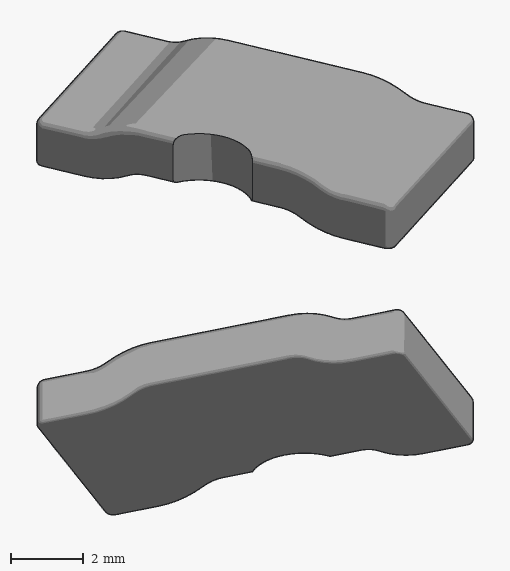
import cadquery as cq
import math

length = 10.92
width = 5.51
height = 2.0
step = 0.5
thickness = height - step

end_flat = 1.52
inner_radius = 1.17
outer_radius = inner_radius + thickness

corner_radius = 0.25
bottom_radius = 0.1
notch_radius = 1.52
notch_depth = 0.6

half_length = length / 2
bend_start = half_length - end_flat
radius_sum = inner_radius + outer_radius
bend_angle = math.acos(1 - step / radius_sum)
bend_end = bend_start - radius_sum * math.sin(bend_angle)


def bend_points(side, base, lower_radius, upper_radius):
    """Return five points along the two tangent arcs, from an end flat up to the middle flat."""
    def lower_point(angle):
        x = bend_start - lower_radius * math.sin(angle)
        return side * x, base + lower_radius * (1 - math.cos(angle))

    def upper_point(angle):
        x = bend_end + upper_radius * math.sin(angle)
        return side * x, base + step - upper_radius * (1 - math.cos(angle))

    return [
        lower_point(0),
        lower_point(bend_angle / 2),
        lower_point(bend_angle),
        upper_point(bend_angle / 2),
        upper_point(0),
    ]


def add_bend(profile, points):
    """Draw a line to the first point, then two arcs through the rest."""
    start, first_middle, joint, second_middle, end = points
    profile = profile.lineTo(*start)
    return profile.threePointArc(first_middle, joint).threePointArc(second_middle, end)


def bent_plate():
    """Extrude the bent strip, centred on X and Y, with its ends on Z = 0."""
    bottom_radii = (outer_radius, inner_radius)
    top_radii = (inner_radius, outer_radius)
    profile = cq.Workplane("XZ").moveTo(-half_length, 0)
    profile = add_bend(profile, bend_points(-1, 0, *bottom_radii))
    profile = add_bend(profile, bend_points(1, 0, *bottom_radii)[::-1])
    profile = profile.lineTo(half_length, 0).lineTo(half_length, thickness)
    profile = add_bend(profile, bend_points(1, thickness, *top_radii))
    profile = add_bend(profile, bend_points(-1, thickness, *top_radii)[::-1])
    profile = profile.lineTo(-half_length, thickness).close()
    return profile.extrude(width / 2, both=True)


def round_edges(plate):
    """Round the vertical corners, then the whole top and bottom rims."""
    plate = plate.edges("|Z").fillet(corner_radius)
    plate = plate.faces("<X").edges(">Z").fillet(corner_radius)
    return plate.faces("<Z").edges("<X").fillet(bottom_radius)


notch = (
    cq.Workplane("XY")
    .center(0, notch_depth - width / 2 - notch_radius)
    .circle(notch_radius)
    .extrude(height)
)

result = round_edges(bent_plate()).cut(notch)